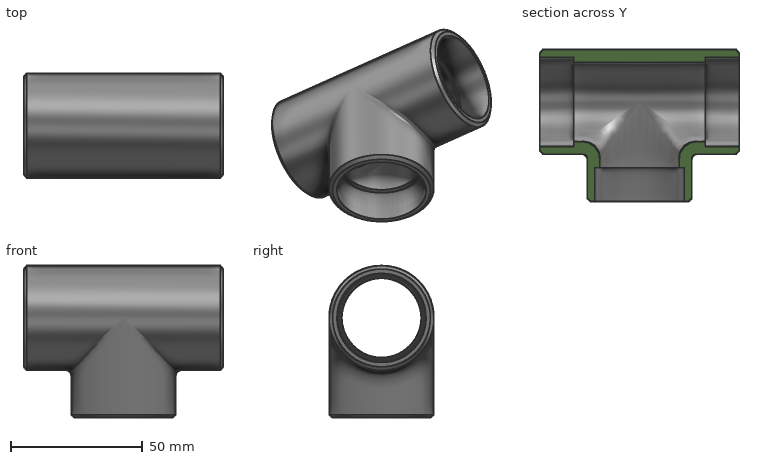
import cadquery as cq

run_length = 76.0
outer_diameter = 40.0
bore_diameter = 30.2
socket_diameter = 34.0
socket_depth = 12.9
branch_length = 38.0
rim_chamfer_axial = 1.2
rim_chamfer_radial = 1.4
crotch_radius = 1.75
bore_corner_radius = 6.5

outer_radius = outer_diameter / 2
rim_radius = outer_radius - rim_chamfer_radial
bore_radius = bore_diameter / 2
socket_radius = socket_diameter / 2
half_run = run_length / 2


def outer_run():
    """Solid run along X with both rims chamfered."""
    profile = cq.Workplane("XZ").polyline([
        (-half_run, 0),
        (-half_run, rim_radius),
        (-half_run + rim_chamfer_axial, outer_radius),
        (half_run - rim_chamfer_axial, outer_radius),
        (half_run, rim_radius),
        (half_run, 0),
    ])
    return profile.close().revolve(360, (0, 0, 0), (1, 0, 0))


def outer_branch():
    """Solid branch down from the run axis with its rim chamfered."""
    profile = cq.Workplane("XZ").polyline([
        (0, 0),
        (-outer_radius, 0),
        (-outer_radius, -branch_length + rim_chamfer_axial),
        (-rim_radius, -branch_length),
        (0, -branch_length),
    ])
    return profile.close().revolve(360, (0, 0, 0), (0, 1, 0))


def run_cavity():
    """Through bore of the run with a pipe socket at each end."""
    socket_floor = half_run - socket_depth
    profile = cq.Workplane("XZ").polyline([
        (-half_run, 0),
        (-half_run, socket_radius),
        (-socket_floor, socket_radius),
        (-socket_floor, bore_radius),
        (socket_floor, bore_radius),
        (socket_floor, socket_radius),
        (half_run, socket_radius),
        (half_run, 0),
    ])
    return profile.close().revolve(360, (0, 0, 0), (1, 0, 0))


def branch_cavity():
    """Branch bore from the run axis down, with a pipe socket at its mouth."""
    socket_floor = branch_length - socket_depth
    profile = cq.Workplane("XZ").polyline([
        (0, 0),
        (-bore_radius, 0),
        (-bore_radius, -socket_floor),
        (-socket_radius, -socket_floor),
        (-socket_radius, -branch_length),
        (0, -branch_length),
    ])
    return profile.close().revolve(360, (0, 0, 0), (0, 1, 0))


body = outer_run().union(outer_branch())
body = body.edges("%ELLIPSE").fillet(crotch_radius)

half_space = cq.Workplane("YZ").rect(2 * run_length, 2 * run_length).extrude(-run_length)
half_cavity = run_cavity().union(branch_cavity()).intersect(half_space)
half_cavity = half_cavity.edges("%ELLIPSE").fillet(bore_corner_radius)

result = body.cut(half_cavity).cut(half_cavity.mirror("YZ"))